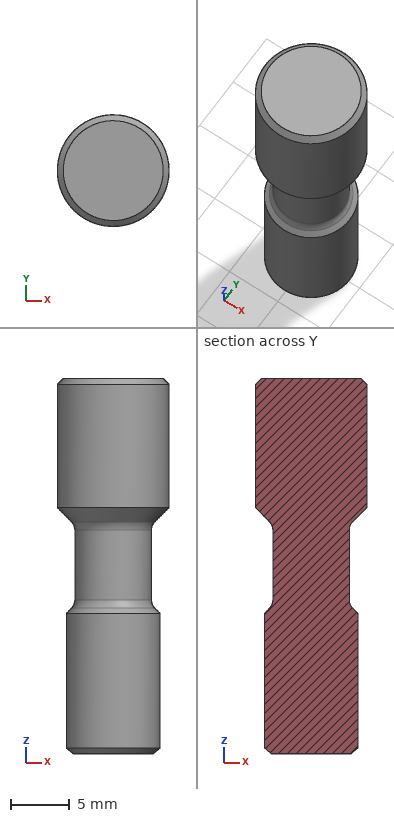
import cadquery as cq

length = 32.0
head_radius = 4.77
neck_radius = 3.25
shank_radius = 4.0
edge_chamfer = 0.5
shank_chamfer_width = 0.6

shank_top = 11.97
head_bottom = 21.0

corner_margin = 0.15

shoulder_fillet = 1.0
shank_shoulder_foot = shank_top + (shank_radius - neck_radius)
head_shoulder_foot = head_bottom - (head_radius - neck_radius)


def make_pin():
    """Revolve the half profile with sharp neck corners."""
    return (
        cq.Workplane("XZ")
        .moveTo(0, 0)
        .lineTo(shank_radius - shank_chamfer_width, 0)
        .lineTo(shank_radius, edge_chamfer)
        .lineTo(shank_radius, shank_top)
        .lineTo(neck_radius, shank_shoulder_foot)
        .lineTo(neck_radius, head_shoulder_foot)
        .lineTo(head_radius, head_bottom)
        .lineTo(head_radius, length - edge_chamfer)
        .lineTo(head_radius - edge_chamfer, length)
        .lineTo(0, length)
        .close()
        .revolve(360, (0, 0, 0), (0, 1, 0))
    )


def round_neck_corners(pin):
    """Blend both conical shoulders into the neck."""
    for corner_height in (shank_shoulder_foot, head_shoulder_foot):
        corner = cq.selectors.BoxSelector(
            (-head_radius, -head_radius, corner_height - corner_margin),
            (head_radius, head_radius, corner_height + corner_margin),
        )
        pin = pin.edges("%CIRCLE").edges(corner).fillet(shoulder_fillet)
    return pin


result = round_neck_corners(make_pin())